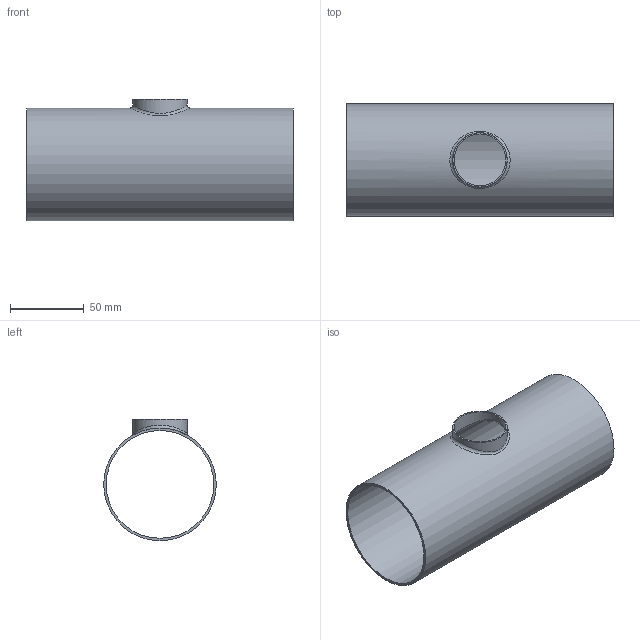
import cadquery as cq

pipe_length = 180.0
pipe_outer_diameter = 76.1
pipe_inner_diameter = 72.8

collar_outer_diameter = 36.75
collar_inner_diameter = 35.1
collar_top_height = 44.0

outer_blend_radius = 2.0
inner_blend_radius = 3.0


def pipe_cylinder(diameter):
    """Solid cylinder along X with the full pipe length."""
    return cq.Workplane("YZ").circle(diameter / 2).extrude(pipe_length / 2, both=True)


def collar_cylinder(diameter):
    """Solid cylinder along Z from the pipe axis up to the collar rim."""
    return cq.Workplane("XY").circle(diameter / 2).extrude(collar_top_height)


def blended_tee(pipe_diameter, collar_diameter, blend_radius):
    """Pipe and collar cylinders joined, with their saddle-shaped joint filleted."""
    tee = pipe_cylinder(pipe_diameter).union(collar_cylinder(collar_diameter))
    collar_reach = collar_diameter / 2 + blend_radius
    joint_zone = cq.selectors.BoxSelector(
        (-collar_reach, -collar_reach, 0),
        (collar_reach, collar_reach, pipe_diameter / 2 + blend_radius),
    )
    return tee.edges(joint_zone).fillet(blend_radius)


outside = blended_tee(pipe_outer_diameter, collar_outer_diameter, outer_blend_radius)
inside = blended_tee(pipe_inner_diameter, collar_inner_diameter, inner_blend_radius)

result = outside.cut(inside)